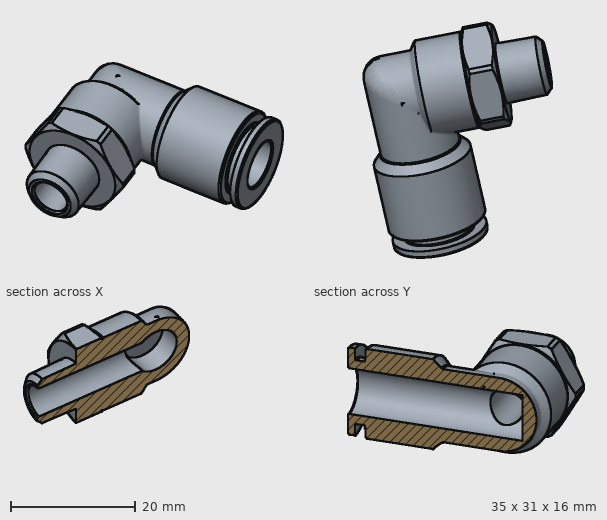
import cadquery as cq
import math


elbow_radius = 13.0 / 2
corner_fillet = 3.12
fillet_half_height = 6.45
junction_fillet = 0.42
selection_margin = 0.05

collar_radius = 16.0 / 2
lip_radius = 6.62
lip_start = 9.67
lip_end = 9.9
collar_full_start = 11.35
collar_end = 23.03
collar_chamfer = 0.28
cartridge_lip_radius = 6.2
neck_start = 23.17
neck_radius = 11.4 / 2
neck_flare_start = 24.57
neck_flare_radius = 5.8
ring_radius = 15.5 / 2
ring_start = 24.78
ring_chamfer = 0.25
arm_end = 26.05

sleeve_radius = 15.8 / 2
sleeve_cone_start = 1.75
sleeve_cone_end = 2.6
sleeve_full_start = 2.85
sleeve_shoulder_radius = 7.7
sleeve_chamfer = 0.25
hex_start = 10.48
hex_end = 15.5
hex_flats = 16.0
hex_corner_diameter = 18.0
hex_bevel_height = 0.6
stem_root_radius = 4.95
stem_tip_radius = 4.8
stem_end = 23.0
stem_chamfer = 0.95

stem_bore_radius = 6.0 / 2
bore_chamfer = 0.3
tube_bore_radius = 8.0 / 2
tube_mouth_radius = 8.5 / 2
tube_bore_bottom = -tube_bore_radius


def turned_about_x(points):
    """Solid turned from (x, radius) points, closed along the X axis."""
    outline = [(points[0][0], 0)] + points + [(points[-1][0], 0)]
    return cq.Workplane("XY").polyline(outline).close().revolve(360, (0, 0, 0), (1, 0, 0))


def turned_about_stem(points):
    """Solid turned from (distance along -Y, radius) points, closed along the Y axis."""
    return turned_about_x(points).rotate((0, 0, 0), (0, 0, 1), -90)


def mitred_elbow(radius, arm_length, stem_length):
    """Two equal cylinders joined on the 45 degree mitre plane."""
    arm = cq.Workplane("YZ").workplane(offset=-radius).circle(radius).extrude(radius + arm_length)
    stem = cq.Workplane("XZ").workplane(offset=-radius).circle(radius).extrude(radius + stem_length)
    reach = radius + arm_length + stem_length
    arm_side = (
        cq.Workplane("XY")
        .polyline([(-reach, reach), (reach, reach), (reach, -reach)])
        .close()
        .extrude(radius + 0.35, both=True)
    )
    return arm.intersect(arm_side).union(stem.cut(arm_side))


def make_corner_waste():
    """Material outside the rounding of the elbow's outer mitre edge.

    The edge fades out at top and bottom, so only the middle slab is rounded.
    """
    slab = cq.Workplane("XY").box(4 * elbow_radius, 4 * elbow_radius, 2 * fillet_half_height)
    sharp = mitred_elbow(elbow_radius, lip_start, hex_start).intersect(slab)
    outer_corner = cq.selectors.BoxSelector(
        (-elbow_radius, 0, -elbow_radius), (0, elbow_radius, elbow_radius)
    )
    return sharp.cut(sharp.edges(outer_corner).fillet(corner_fillet))


def make_tube_arm():
    return turned_about_x([
        (lip_start, lip_radius),
        (lip_end, lip_radius),
        (collar_full_start, collar_radius),
        (collar_end - collar_chamfer, collar_radius),
        (collar_end, collar_radius - collar_chamfer),
        (collar_end, cartridge_lip_radius),
        (neck_start, cartridge_lip_radius),
        (neck_start, neck_radius),
        (neck_flare_start, neck_radius),
        (ring_start, neck_flare_radius),
        (ring_start, ring_radius),
        (arm_end - ring_chamfer, ring_radius),
        (arm_end, ring_radius - ring_chamfer),
    ])


def make_sleeve():
    return turned_about_stem([
        (sleeve_cone_start, elbow_radius),
        (sleeve_cone_end, sleeve_shoulder_radius),
        (sleeve_full_start, sleeve_radius),
        (hex_start - sleeve_chamfer, sleeve_radius),
        (hex_start, sleeve_radius - sleeve_chamfer),
    ])


def make_body():
    """Elbow and sleeve, blended where they meet, with the outer corner rounded."""
    elbow = mitred_elbow(elbow_radius, lip_end, hex_start)
    reach = elbow_radius + selection_margin
    junction = cq.selectors.BoxSelector(
        (-reach, -reach, -reach),
        (sleeve_radius + selection_margin, selection_margin - sleeve_cone_start, reach),
        boundingbox=True,
    )
    blended = elbow.union(make_sleeve()).edges(junction).fillet(junction_fillet)
    return blended.cut(make_corner_waste())


def make_hexagon():
    across_corners = hex_flats / math.cos(math.radians(30))
    prism = (
        cq.Workplane("XZ")
        .workplane(offset=hex_start)
        .polygon(6, across_corners)
        .extrude(hex_end - hex_start)
    )
    bevelled_blank = turned_about_stem([
        (hex_start, sleeve_radius),
        (hex_start + hex_bevel_height, hex_corner_diameter / 2),
        (hex_end - hex_bevel_height, hex_corner_diameter / 2),
        (hex_end, sleeve_radius),
    ])
    return prism.intersect(bevelled_blank)


def make_stem():
    return turned_about_stem([
        (hex_end, stem_root_radius),
        (stem_end - stem_chamfer, stem_tip_radius),
        (stem_end, stem_tip_radius - stem_chamfer),
    ])


def make_bores():
    stem_bore = turned_about_stem([
        (0, stem_bore_radius),
        (stem_end - bore_chamfer, stem_bore_radius),
        (stem_end, stem_bore_radius + bore_chamfer),
    ])
    tube_bore = turned_about_x([
        (tube_bore_bottom, tube_bore_radius),
        (arm_end - ring_chamfer, tube_bore_radius),
        (arm_end, tube_mouth_radius),
    ])
    return stem_bore.union(tube_bore)


result = (
    make_body()
    .union(make_tube_arm())
    .union(make_hexagon())
    .union(make_stem())
    .cut(make_bores())
)